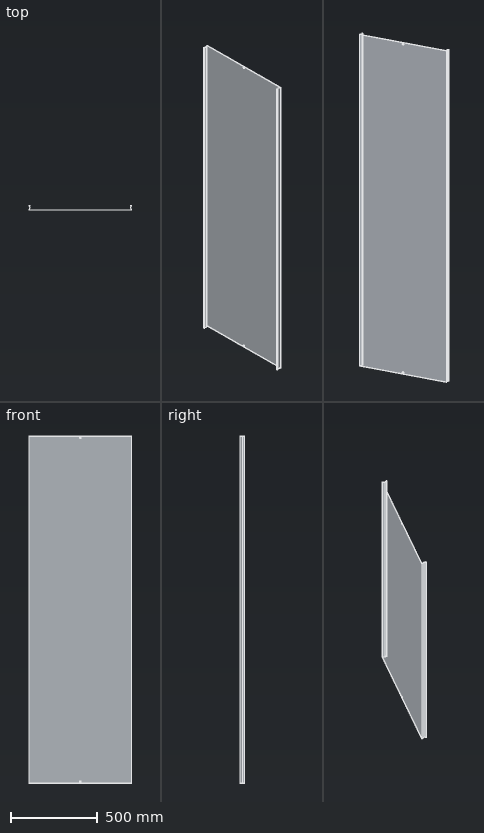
import cadquery as cq

width = 592.0
depth = 28.0
height = 2000.0

sheet_thickness = 0.8
front_y = -depth / 2
panel_back_y = front_y + sheet_thickness
rear_y = depth / 2

waist_inset = 6.5
waist_y = 2.0
lip_return = 5.0

hole_diameter = 8.0
hole_end_distance = 10.0


def make_panel():
    panel_centre_y = front_y + sheet_thickness / 2
    return (
        cq.Workplane("XY", origin=(0, panel_centre_y, 0))
        .box(width, sheet_thickness, height)
    )


def make_clip(side):
    """Bent strip on the left (side = -1) or right (side = 1) edge."""

    def point(inset, y):
        return (side * (width / 2 - inset), y)

    outline = [
        point(0, panel_back_y),
        point(waist_inset, waist_y),
        point(0, rear_y),
        point(lip_return, rear_y),
        point(lip_return, rear_y - sheet_thickness),
        point(sheet_thickness, rear_y - sheet_thickness),
        point(waist_inset + sheet_thickness, waist_y),
        point(sheet_thickness, panel_back_y),
    ]
    return (
        cq.Workplane("XY").workplane(offset=-height / 2)
        .polyline(outline).close().extrude(height)
    )


def make_hole(end):
    """Cutter for the hole near the bottom (end = -1) or top (end = 1)."""
    hole_z = end * (height / 2 - hole_end_distance)
    return (
        cq.Workplane("XZ", origin=(0, panel_back_y, hole_z))
        .circle(hole_diameter / 2).extrude(sheet_thickness)
    )


result = make_panel()
for sign in (-1, 1):
    result = result.union(make_clip(sign)).cut(make_hole(sign))